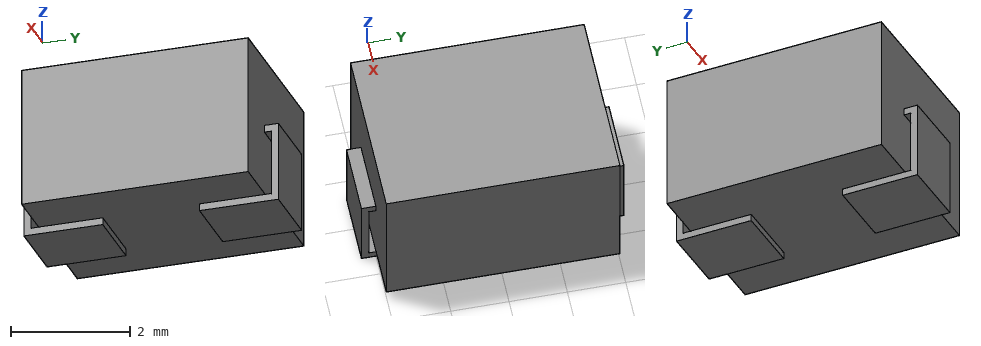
import cadquery as cq

overall_length = 4.5
overall_height = 2.65
body_width = 3.0
body_length = 4.005
body_height = 2.5
body_bottom = overall_height - body_height

lead_width = 1.25
lead_height = 1.418
lead_thickness = 0.125
foot_length = 1.395

lead_outer_y = overall_length / 2
lead_inner_y = lead_outer_y - lead_thickness
body_end_y = body_length / 2
foot_tip_y = lead_outer_y - foot_length
lead_shoulder_z = lead_height - lead_thickness


def make_body():
    """Rectangular block with its underside raised above the seating plane."""
    return (
        cq.Workplane("XY", origin=(0, 0, body_bottom))
        .box(body_width, body_length, body_height, centered=(True, True, False))
    )


def make_lead(turn):
    """C-shaped strip on the +Y end, turned about Z to reach its own end."""
    profile = [
        (body_end_y, lead_height),
        (lead_outer_y, lead_height),
        (lead_outer_y, 0),
        (foot_tip_y, 0),
        (foot_tip_y, lead_thickness),
        (lead_inner_y, lead_thickness),
        (lead_inner_y, lead_shoulder_z),
        (body_end_y, lead_shoulder_z),
    ]
    return (
        cq.Workplane("YZ")
        .polyline(profile)
        .close()
        .extrude(lead_width / 2, both=True)
        .rotate((0, 0, 0), (0, 0, 1), turn)
    )


body = make_body()
leads = [make_lead(turn) for turn in (0, 180)]

result = cq.Compound.makeCompound([body.val(), *[lead.val() for lead in leads]])